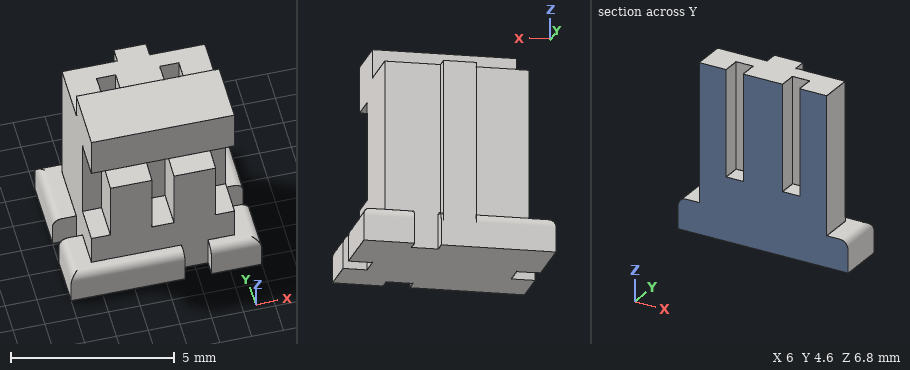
import cadquery as cq

flange_length = 6.0
flange_width = 4.6
flange_height = 1.1
flange_round = 0.3
body_length = 4.5
body_width = 3.7
body_front = -body_width / 2
body_back = body_width / 2

total_height = 6.8
rear_height = 5.89
overhang_bottom = 5.33
ledge_height = 2.23
step_y = 0.05
recess_y = -0.735

end_gap_left = 0.585
end_gap_right = 1.415

lug_inner_x = 0.35
lug_outer_x = 1.65
lug_back_height = 4.555
lug_front_height = 4.45

rib_width = 1.02

pocket_size = 0.6
pocket_spacing = 1.985
pocket_y = 1.02
pocket_depth = 3.67


def block(x_min, x_max, y_min, y_max, z_min, z_max):
    """Box spanning the given limits."""
    size = (x_max - x_min, y_max - y_min, z_max - z_min)
    return cq.Workplane("XY").box(*size, centered=False).translate((x_min, y_min, z_min))


def make_flange():
    """Base flange with rounded upper edges, cut by gaps on all four sides."""
    half_length = flange_length / 2
    half_width = flange_width / 2
    flange = (
        cq.Workplane("XY")
        .box(flange_length, flange_width, flange_height, centered=(True, True, False))
        .faces(">Z")
        .edges()
        .fillet(flange_round)
    )
    lengthwise_gap = block(-half_length, half_length, recess_y, step_y, 0, flange_height)
    crosswise_gap = block(end_gap_left, end_gap_right, -half_width, half_width, 0, flange_height)
    return flange.cut(lengthwise_gap).cut(crosswise_gap)


def make_body():
    """Stepped side profile, with a front recess below the overhang."""
    profile = [
        (body_front, 0),
        (body_back, 0),
        (body_back, rear_height),
        (step_y, rear_height),
        (step_y, total_height),
        (body_front, total_height),
        (body_front, overhang_bottom),
        (recess_y, overhang_bottom),
        (recess_y, ledge_height),
        (body_front, ledge_height),
    ]
    return cq.Workplane("YZ").polyline(profile).close().extrude(body_length / 2, both=True)


def make_lug(x_min):
    """Lug on the recess ledge, its top falling toward the front."""
    profile = [
        (recess_y, ledge_height),
        (recess_y, lug_back_height),
        (body_front, lug_front_height),
        (body_front, ledge_height),
    ]
    lug_width = lug_outer_x - lug_inner_x
    return cq.Workplane("YZ", origin=(x_min, 0, 0)).polyline(profile).close().extrude(lug_width)


rib = block(-rib_width / 2, rib_width / 2, step_y, flange_width / 2, 0, rear_height)
result = make_body().union(make_flange()).union(rib)

for lug_x in (-lug_outer_x, lug_inner_x):
    result = result.union(make_lug(lug_x))

pockets = (
    cq.Workplane("XY", origin=(0, pocket_y, rear_height))
    .rarray(pocket_spacing, 0.07, 2, 1)
    .rect(pocket_size, pocket_size)
    .extrude(-pocket_depth)
)
result = result.cut(pockets)